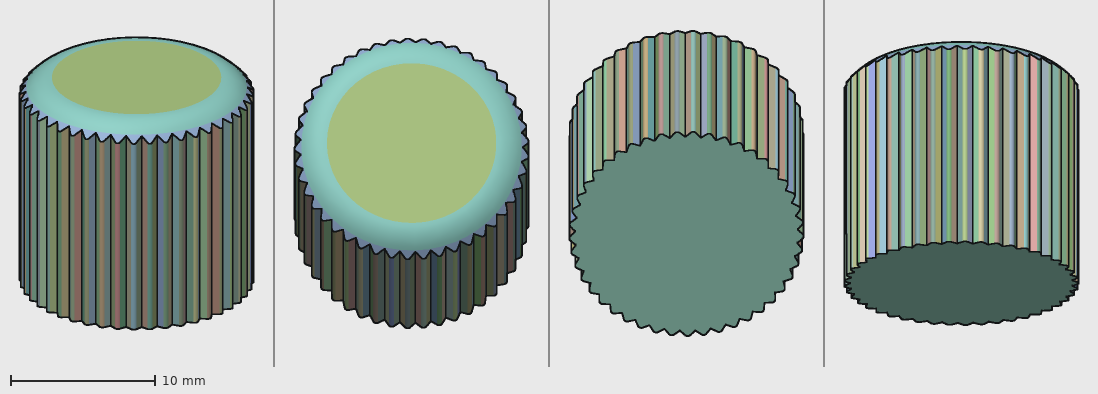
import cadquery as cq
import math

height = 15.5
crest_radius = 8.13

tooth_count = 45
first_tooth_angle = -1.5
tooth_round = 0.25
flank_angle = math.radians(45)

flat_radius = 5.875
dome_round = 2.5
cone_angle = math.radians(45)
envelope_margin = 1.0


def point_on_tooth(tooth_angle, radial, sideways):
    """Turn a point given relative to a tooth's centre line into X and Y."""
    x = radial * math.cos(tooth_angle) - sideways * math.sin(tooth_angle)
    y = radial * math.sin(tooth_angle) + sideways * math.cos(tooth_angle)
    return x, y


def serrated_body():
    """Prism whose outline is a ring of rounded teeth with sharp roots."""
    pitch = 2 * math.pi / tooth_count
    half_pitch = pitch / 2
    first_angle = math.radians(first_tooth_angle)

    round_centre = crest_radius - tooth_round
    apex_radius = round_centre + tooth_round / math.sin(flank_angle)
    tangent_radial = round_centre + tooth_round * math.sin(flank_angle)
    tangent_sideways = tooth_round * math.cos(flank_angle)

    root_radius = apex_radius * math.sin(flank_angle) / math.sin(flank_angle + half_pitch)
    root_radial = root_radius * math.cos(half_pitch)
    root_sideways = root_radius * math.sin(half_pitch)

    outline = cq.Workplane("XY").moveTo(*point_on_tooth(first_angle, root_radial, -root_sideways))
    for index in range(tooth_count):
        angle = first_angle + index * pitch
        outline = outline.lineTo(*point_on_tooth(angle, tangent_radial, -tangent_sideways))
        outline = outline.threePointArc(
            point_on_tooth(angle, crest_radius, 0),
            point_on_tooth(angle, tangent_radial, tangent_sideways),
        )
        if index < tooth_count - 1:
            outline = outline.lineTo(*point_on_tooth(angle, root_radial, root_sideways))
    return outline.close().extrude(height)


def domed_envelope():
    """Solid of revolution that shapes the top and clears the teeth below it."""
    outer_radius = crest_radius + envelope_margin
    round_centre_z = height - dome_round
    dome_edge_radius = flat_radius + dome_round * math.sin(cone_angle)
    dome_edge_z = round_centre_z + dome_round * math.cos(cone_angle)
    mid_radius = flat_radius + dome_round * math.sin(cone_angle / 2)
    mid_z = round_centre_z + dome_round * math.cos(cone_angle / 2)
    cone_bottom_z = dome_edge_z - (outer_radius - dome_edge_radius) * math.tan(cone_angle)

    return (
        cq.Workplane("XZ")
        .lineTo(outer_radius, 0)
        .lineTo(outer_radius, cone_bottom_z)
        .lineTo(dome_edge_radius, dome_edge_z)
        .threePointArc((mid_radius, mid_z), (flat_radius, height))
        .lineTo(0, height)
        .close()
        .revolve(360, (0, 0, 0), (0, 1, 0))
    )


result = serrated_body().intersect(domed_envelope())